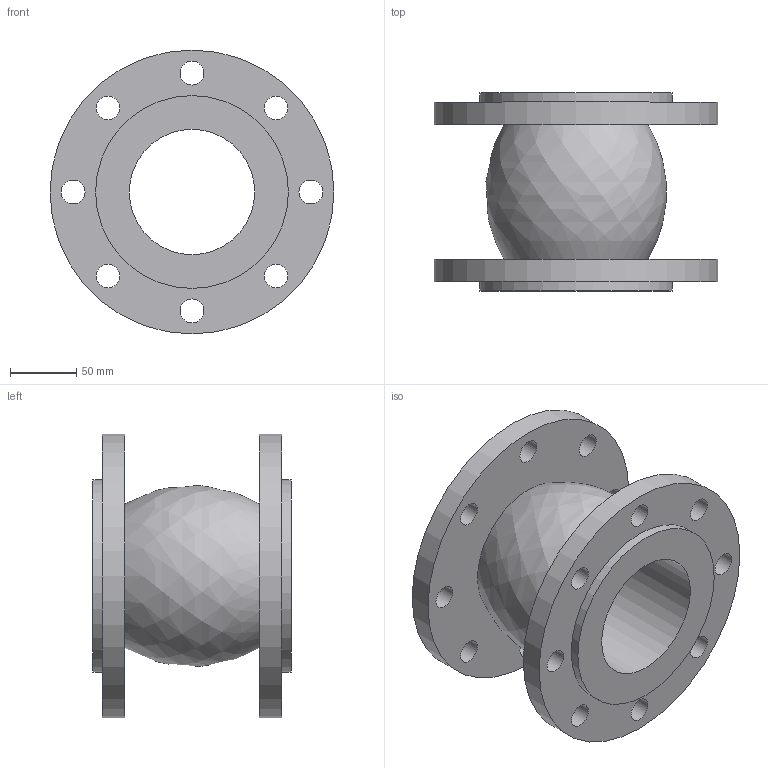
import cadquery as cq

overall_length = 150.0
bore_diameter = 95.0

flange_diameter = 215.0
flange_thickness = 17.0
raised_face_diameter = 146.0
raised_face_height = 7.0

bolt_hole_diameter = 18.0
bolt_circle_diameter = 180.0
bolt_count = 8

bulge_diameter = 137.0
bulge_end_diameter = 109.0

half_length = overall_length / 2
flange_outer_y = half_length - raised_face_height
flange_inner_y = flange_outer_y - flange_thickness


def cylinder_along_y(diameter, start_y, end_y):
    """Solid cylinder on the Y axis between two Y positions."""
    return (
        cq.Workplane("XZ", origin=(0, end_y, 0))
        .circle(diameter / 2)
        .extrude(end_y - start_y)
    )


def bulged_body():
    """Barrel with an arc profile, revolved about the Y axis."""
    return (
        cq.Workplane("XY")
        .moveTo(0, -flange_inner_y)
        .lineTo(bulge_end_diameter / 2, -flange_inner_y)
        .threePointArc(
            (bulge_diameter / 2, 0),
            (bulge_end_diameter / 2, flange_inner_y),
        )
        .lineTo(0, flange_inner_y)
        .close()
        .revolve(360, (0, 0, 0), (0, 1, 0))
    )


def flange():
    """Flange with its raised face, at the +Y end."""
    disc = cylinder_along_y(flange_diameter, flange_inner_y, flange_outer_y)
    raised_face = cylinder_along_y(raised_face_diameter, flange_outer_y, half_length)
    bolt_holes = (
        cq.Workplane("XZ", origin=(0, flange_outer_y, 0))
        .polarArray(bolt_circle_diameter / 2, 0, 360, bolt_count)
        .circle(bolt_hole_diameter / 2)
        .extrude(flange_thickness)
    )
    return disc.union(raised_face).cut(bolt_holes)


end_flange = flange()
bore = cylinder_along_y(bore_diameter, -half_length, half_length)

result = (
    bulged_body()
    .union(end_flange)
    .union(end_flange.mirror("XZ"))
    .cut(bore)
)